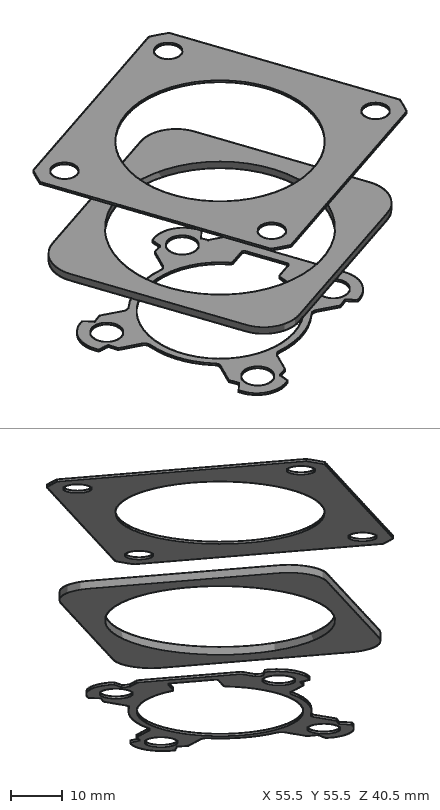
import cadquery as cq
import math

stack_height = 40.5
thin_thickness = 0.5
frame_thickness = 1.6
frame_bottom = 18.3

cover_size = 55.5
cover_corner_diameter = 74.5
cover_bore = 40.3
cover_hole_diameter = 5.5
cover_hole_spacing = 44.6

frame_size = 53.1
frame_corner_radius = 7.65
frame_bore = 44.3

gasket_bore = 32.1
gasket_ring_diameter = 35.3
gasket_reach = 22.15
ring_fillet = 1.4

lug_hole_diameter = 6.4
lug_hole_distance = 23.0
lug_end_radius = 6.3
lug_half_width = 5.7
neck_half_width = 4.1
shoulder_setback = 0.45
neck_length = 1.05
lug_tip_length = 3.3
lug_end_centre = (gasket_reach - lug_end_radius) * math.sqrt(2)
lug_angles = (45, 135, 225, 315)

keyway_width = 10.05
keyway_end = 19.85
keyway_fillet = 0.55
bridge_fillet = 0.55


def make_cover():
    """Square plate with its corners rounded about the bore axis."""
    corner_disc = cq.Workplane("XY").circle(cover_corner_diameter / 2).extrude(thin_thickness)
    plate = cq.Workplane("XY").rect(cover_size, cover_size).extrude(thin_thickness).intersect(corner_disc)
    plate = plate.faces(">Z").workplane().hole(cover_bore)
    plate = (
        plate.faces(">Z").workplane()
        .rect(cover_hole_spacing, cover_hole_spacing, forConstruction=True)
        .vertices().hole(cover_hole_diameter)
    )
    return plate.translate((0, 0, stack_height - thin_thickness))


def make_frame():
    """Thick square frame with rounded corners."""
    plate = cq.Workplane("XY").rect(frame_size, frame_size).extrude(frame_thickness)
    plate = plate.edges("|Z").fillet(frame_corner_radius)
    plate = plate.faces(">Z").workplane().hole(frame_bore)
    return plate.translate((0, 0, frame_bottom))


def make_lug(angle):
    """Lug pointing outward at the given angle, necked in ahead of its round end."""
    shoulder = lug_hole_distance - shoulder_setback
    neck = lug_hole_distance + neck_length
    tip = lug_hole_distance + lug_tip_length
    tip_half_width = math.sqrt(lug_end_radius**2 - (tip - lug_end_centre) ** 2)
    lug = (
        cq.Workplane("XY")
        .moveTo(gasket_bore / 2, -lug_half_width)
        .lineTo(shoulder, -lug_half_width)
        .lineTo(neck, -neck_half_width)
        .lineTo(tip, -tip_half_width)
        .threePointArc((lug_end_centre + lug_end_radius, 0), (tip, tip_half_width))
        .lineTo(neck, neck_half_width)
        .lineTo(shoulder, lug_half_width)
        .lineTo(gasket_bore / 2, lug_half_width)
        .close()
        .extrude(thin_thickness)
    )
    return lug.rotate((0, 0, 0), (0, 0, 1), angle)


def make_bridge():
    """Web between the two +Y lugs, ending on the lines through their hole centres."""
    edge_half_width = lug_hole_distance * math.sqrt(2) - gasket_reach
    lug_offset = lug_hole_distance / math.sqrt(2)
    outline = [
        (0, 0),
        (lug_offset, lug_offset),
        (edge_half_width, gasket_reach),
        (-edge_half_width, gasket_reach),
        (-lug_offset, lug_offset),
    ]
    bridge = cq.Workplane("XY").polyline(outline).close().extrude(thin_thickness)
    return bridge.edges("|Z and >Y").fillet(bridge_fillet)


def make_gasket():
    """Ring with four drilled lugs and a keyway opening into its bore."""
    gasket = cq.Workplane("XY").circle(gasket_ring_diameter / 2).extrude(thin_thickness)
    for angle in lug_angles:
        gasket = gasket.union(make_lug(angle))

    root_distance = math.sqrt((gasket_ring_diameter / 2) ** 2 - lug_half_width**2)
    root_near = (root_distance - lug_half_width) / math.sqrt(2)
    root_far = (root_distance + lug_half_width) / math.sqrt(2)
    roots = [(side * root_far, end * root_near) for side in (-1, 1) for end in (-1, 1)]
    roots += [(side * root_near, -root_far) for side in (-1, 1)]
    for x, y in roots:
        root_edge = cq.selectors.NearestToPointSelector((x, y, thin_thickness / 2))
        gasket = gasket.edges("|Z").edges(root_edge).fillet(ring_fillet)

    gasket = gasket.union(make_bridge())
    bore = cq.Workplane("XY").circle(gasket_bore / 2).extrude(thin_thickness)
    keyway = (
        cq.Workplane("XY")
        .center(0, keyway_end / 2)
        .rect(keyway_width, keyway_end)
        .extrude(thin_thickness)
        .edges("|Z and >Y").fillet(keyway_fillet)
    )
    gasket = gasket.cut(bore).cut(keyway)
    lug_holes = (
        cq.Workplane("XY")
        .polarArray(lug_hole_distance, lug_angles[0], 360, len(lug_angles))
        .circle(lug_hole_diameter / 2)
        .extrude(thin_thickness)
    )
    gasket = gasket.cut(lug_holes)

    mouth_y = math.sqrt((gasket_bore / 2) ** 2 - (keyway_width / 2) ** 2)
    for side in (-1, 1):
        mouth_corner = (side * keyway_width / 2, mouth_y, thin_thickness / 2)
        mouth_edge = cq.selectors.NearestToPointSelector(mouth_corner)
        gasket = gasket.edges("|Z").edges(mouth_edge).fillet(keyway_fillet)
    return gasket


cover = make_cover()
frame = make_frame()
gasket = make_gasket()

result = cq.Compound.makeCompound([cover.val(), frame.val(), gasket.val()])